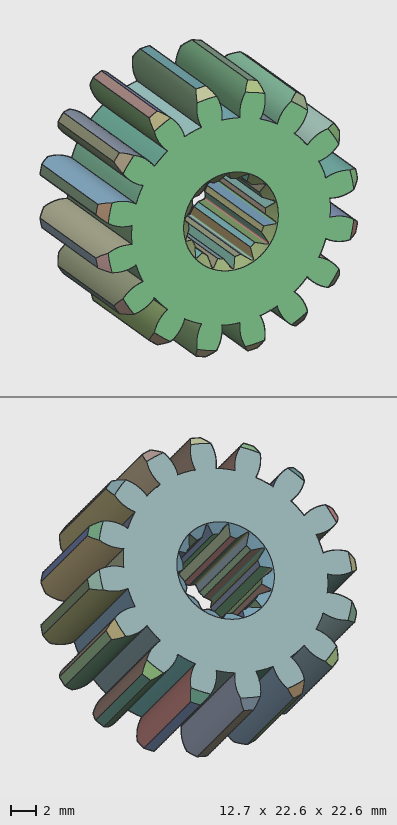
import cadquery as cq
import math

WIDTH = 12.7

OUTER_SIZE = 22.57
TOOTH_COUNT = 16
PRESSURE_ANGLE = math.radians(20)
ROOT_HALF_ANGLE = math.radians(6)
DEDENDUM_FACTOR = 5 / 4
TOOTH_PITCH_ANGLE = 2 * math.pi / TOOTH_COUNT


def involute(angle):
    """Involute function of a pressure angle in radians."""
    return math.tan(angle) - angle


PITCH_HALF_ANGLE = TOOTH_PITCH_ANGLE / 4
TIP_PRESSURE_ANGLE = math.acos(math.cos(PRESSURE_ANGLE) * TOOTH_COUNT / (TOOTH_COUNT + 2))
TIP_HALF_ANGLE = PITCH_HALF_ANGLE + involute(PRESSURE_ANGLE) - involute(TIP_PRESSURE_ANGLE)
TIP_RADIUS = OUTER_SIZE / 2 / math.cos(TOOTH_PITCH_ANGLE / 2 - TIP_HALF_ANGLE)
MODULE = 2 * TIP_RADIUS / (TOOTH_COUNT + 2)
PITCH_RADIUS = MODULE * TOOTH_COUNT / 2
ROOT_RADIUS = PITCH_RADIUS - DEDENDUM_FACTOR * MODULE

TIP_CHAMFER_LENGTH = 0.84
TIP_CHAMFER_DEPTH = 0.77

SPLINE_COUNT = 14
SPLINE_MINOR_RADIUS = 3.32
SPLINE_ROOT_RADIUS = 4.0
GROOVE_MOUTH_WIDTH = 0.97
GROOVE_ROOT_FILLET = 0.11
SPLINE_PITCH_ANGLE = 2 * math.pi / SPLINE_COUNT
FIRST_GROOVE_ANGLE = math.pi / 2 + SPLINE_PITCH_ANGLE / 8
MOUTH_RADIUS = 4.09
MOUTH_CHAMFER_LENGTH = 0.77


def polar(radius, angle):
    """Point in the YZ plane; the angle is measured from +Y towards +Z."""
    return (radius * math.cos(angle), radius * math.sin(angle))


def gear_blank():
    """Toothed profile: each flank is one arc close to the involute, run on down to the root."""
    outline = cq.Workplane("YZ").moveTo(*polar(ROOT_RADIUS, -TOOTH_PITCH_ANGLE + ROOT_HALF_ANGLE))
    for tooth in range(TOOTH_COUNT):
        centre = tooth * TOOTH_PITCH_ANGLE
        outline = (
            outline
            .threePointArc(
                polar(ROOT_RADIUS, centre - TOOTH_PITCH_ANGLE / 2),
                polar(ROOT_RADIUS, centre - ROOT_HALF_ANGLE),
            )
            .threePointArc(
                polar(PITCH_RADIUS, centre - PITCH_HALF_ANGLE),
                polar(TIP_RADIUS, centre - TIP_HALF_ANGLE),
            )
            .threePointArc(polar(TIP_RADIUS, centre), polar(TIP_RADIUS, centre + TIP_HALF_ANGLE))
            .threePointArc(
                polar(PITCH_RADIUS, centre + PITCH_HALF_ANGLE),
                polar(ROOT_RADIUS, centre + ROOT_HALF_ANGLE),
            )
        )
    blank = outline.close().extrude(WIDTH / 2, both=True)
    return blank.rotate((0, 0, 0), (1, 0, 0), math.degrees(TOOTH_PITCH_ANGLE / 2))


def chamfered_envelope():
    """Cylinder at the tooth tips with a conical chamfer at each end."""
    cylinder = cq.Workplane("YZ").circle(TIP_RADIUS).extrude(WIDTH / 2, both=True)
    return cylinder.faces("<X or >X").edges().chamfer(TIP_CHAMFER_LENGTH, TIP_CHAMFER_DEPTH)


def spline_cutter():
    """Round core with tapered grooves; the flanks run tangent into a rounded groove root."""
    mouth_half_angle = math.asin(GROOVE_MOUTH_WIDTH / 2 / SPLINE_MINOR_RADIUS)
    mouth_y, mouth_z = polar(SPLINE_MINOR_RADIUS, mouth_half_angle)
    fillet_centre = SPLINE_ROOT_RADIUS - GROOVE_ROOT_FILLET
    reach = math.hypot(fillet_centre - mouth_y, mouth_z)
    tangent_angle = math.atan2(mouth_z, mouth_y - fillet_centre) - math.acos(GROOVE_ROOT_FILLET / reach)
    tangent_y = fillet_centre + GROOVE_ROOT_FILLET * math.cos(tangent_angle)
    tangent_z = GROOVE_ROOT_FILLET * math.sin(tangent_angle)

    groove = (
        cq.Workplane("YZ")
        .lineTo(mouth_y, -mouth_z)
        .lineTo(tangent_y, -tangent_z)
        .threePointArc((SPLINE_ROOT_RADIUS, 0), (tangent_y, tangent_z))
        .lineTo(mouth_y, mouth_z)
        .close()
        .extrude(WIDTH / 2, both=True)
    )
    cutter = cq.Workplane("YZ").circle(SPLINE_MINOR_RADIUS).extrude(WIDTH / 2, both=True)
    for index in range(SPLINE_COUNT):
        angle = FIRST_GROOVE_ANGLE + index * SPLINE_PITCH_ANGLE
        cutter = cutter.union(groove.rotate((0, 0, 0), (1, 0, 0), math.degrees(angle)))
    return cutter


def mouth_cutter():
    """Conical lead-in at both ends of the bore."""
    inner = WIDTH / 2 - MOUTH_CHAMFER_LENGTH
    profile = [
        (-WIDTH / 2, 0),
        (-WIDTH / 2, MOUTH_RADIUS),
        (-inner, SPLINE_MINOR_RADIUS),
        (-inner, 0),
    ]
    cone = cq.Workplane("XY").polyline(profile).close().revolve(360, (0, 0, 0), (1, 0, 0))
    return cone.union(cone.mirror("YZ"))


result = gear_blank().intersect(chamfered_envelope()).cut(spline_cutter()).cut(mouth_cutter())